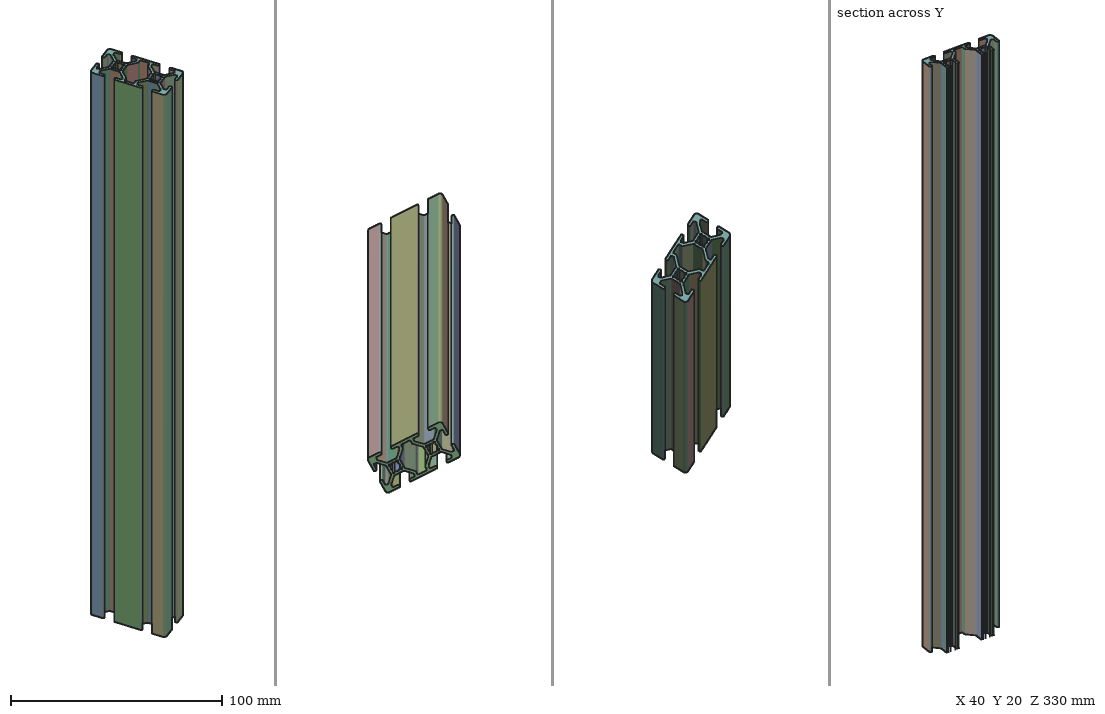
import cadquery as cq
import math

length = 330.0
width = 40.0
cell = width / 2

wall = 1.5
corner_radius = wall
edge_radius = 0.5

slot_opening = 5.3
slot_width = 12.0

core_side = 7.3
bore_diameter = 4.5
groove_span = 6.5
groove_width = 1.0

hollow_top_width = 5.0

half_cell = cell / 2
half_core = core_side / 2
under_wall = half_cell - wall
spoke_offset = wall / 2 * math.sqrt(2)


def mirrored_in_x(points):
    """Mirror image of a chain of points, ordered to continue the chain."""
    return [(-x, y) for x, y in reversed(points)]


def slot_cutter():
    """T-slot for the +Y side of a cell centred on the origin."""
    half_opening = slot_opening / 2
    half_slot = slot_width / 2
    right_side = [
        (half_core - spoke_offset, half_core),
        (half_slot, half_slot + spoke_offset),
        (half_slot, under_wall),
        (half_opening, under_wall),
        (half_opening, half_cell),
    ]
    outline = right_side + mirrored_in_x(right_side)
    slot = cq.Workplane("XY").polyline(outline).close().extrude(length)
    slot = slot.edges("|Z and (not >Y)").fillet(edge_radius)

    round_start = half_cell - edge_radius
    half_mouth = half_opening + edge_radius
    mouth = (
        cq.Workplane("XY")
        .moveTo(half_opening, round_start)
        .radiusArc((half_mouth, half_cell), edge_radius)
        .lineTo(-half_mouth, half_cell)
        .radiusArc((-half_opening, round_start), edge_radius)
        .close()
        .extrude(length)
    )
    return slot.union(mouth)


def hollow_cutter():
    """Eight-sided hollow bounded by the cores, the inner spokes and the outer walls."""
    half_top = hollow_top_width / 2
    upper_right = [
        (half_cell - half_core, half_core - spoke_offset),
        (half_top, half_cell - half_top - spoke_offset),
        (half_top, under_wall),
    ]
    upper = upper_right + mirrored_in_x(upper_right)
    lower = [(-x, -y) for x, y in upper]
    hollow = cq.Workplane("XY").polyline(upper + lower).close().extrude(length)
    return hollow.edges("|Z").fillet(edge_radius)


def bore_cutter(centers):
    """Round bores, each with four round-ended grooves along the diagonals of its cell."""
    layout = cq.Workplane("XY").pushPoints(centers)
    bores = layout.circle(bore_diameter / 2).extrude(length)
    for angle in (45, 135):
        grooves = layout.slot2D(groove_span, groove_width, angle).extrude(length)
        bores = bores.union(grooves)
    return bores


result = cq.Workplane("XY").rect(width, cell).extrude(length).edges("|Z").fillet(corner_radius)

slot = slot_cutter()
cell_centers = [(-half_cell, 0), (half_cell, 0)]

for (center_x, center_y), end_angle in zip(cell_centers, (90, -90)):
    for angle in (0, 180, end_angle):
        turned_slot = slot.rotate((0, 0, 0), (0, 0, 1), angle)
        result = result.cut(turned_slot.translate((center_x, center_y, 0)))

result = result.cut(hollow_cutter()).cut(bore_cutter(cell_centers))